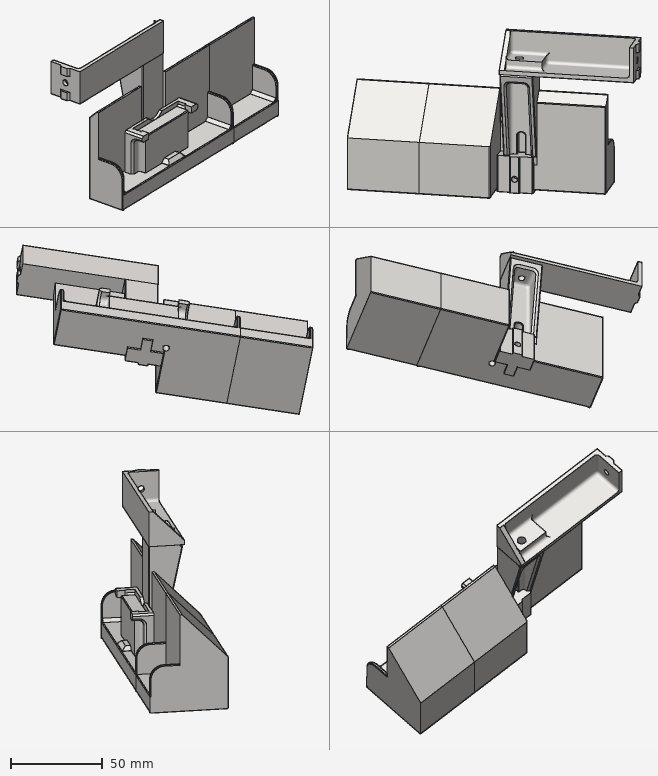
import cadquery as cq

total_length = 159.5
total_height = 90.1
edge_break = 0.5

container_width = 43.5
container_bottom = 1.5
eave_height = 31.1
ridge_height = 56.8
wall_face_x = 27.0
narrow_face_x = 20.4
narrow_eave_chamfer = 0.3
ridge_x = ridge_height - eave_height
rear_length = 40.2
front_length = 99.9
house_length = 39.5
split_y = total_length - rear_length
front_end_y = split_y - front_length
house_end_y = split_y - house_length
trough_floor_z = 11.2
plate_top_z = 28.4
plate_thickness = 1.9
plate_corner_radius = 8.0
plate_foot_chamfer = 1.9
rest_length = 14.4
rest_start_x = 37.8
rest_end_x = 42.9
rest_height = 2.4
rest_bevel = 2.2
drain_diameter = 3.5
drain_mouth_diameter = 6.0
drain_x = 29.2
drain_y = 80.5

connector_width = 20.1
connector_top_z = 20.7
connector_face_x = 18.2
connector_back_x = 26.3
connector_front_y = house_end_y - connector_width
connector_mid_y = house_end_y - connector_width / 2
key_width = 5.6
key_height = 1.1
foot_end_x = 33.2
connector_hole_diameter = 3.4
connector_hole_depth = 6.4
connector_hole_z = 8.0

tray_left_x = 8.1
tray_size = 20.0
tray_right_x = tray_left_x + tray_size
tray_bottom_z = total_height - tray_size
tray_mid_x = tray_left_x + tray_size / 2
tray_mid_z = tray_bottom_z + tray_size / 2
tray_front_y = 1.3
tray_back_y = 76.4
tray_wall = 2.4
tray_back_wall = 2.9
tray_fillet = 1.9
boss_left_x = 13.1
boss_front_y = 53.6
boss_top_z = 77.2
tray_screw_diameter = 4.6
tray_end_hole_diameter = 3.5
rib_base_width = 6.5
rib_tip_width = rib_base_width - 2 * tray_front_y
rib_length = 5.0

arm_width = 18.5
arm_front_y = tray_back_y - arm_width
arm_mid_y = tray_back_y - arm_width / 2
arm_top_x = 9.0
arm_right_x = tray_right_x
arm_tip_z = 16.0
arm_slope = (narrow_face_x - arm_top_x) / (tray_bottom_z - arm_tip_z)
arm_edge_chamfer = 0.5
arm_brow_chamfer = 1.3
arm_pocket_width = 12.1
arm_pocket_top_z = 64.8
arm_pocket_floor_x = 23.0
arm_pocket_radius = 1.9
arm_pocket_chamfer = 1.1
arm_slot_width = 4.6
arm_slot_mouth_width = 5.5
arm_slot_centre_z = 31.0
arm_screw_diameter = 3.5

clip_length = 50.1
clip_front_y = 41.6
clip_back_y = clip_front_y + clip_length
clip_mid_y = clip_front_y + clip_length / 2
clip_left_x = arm_right_x
clip_hook_x = 40.0
clip_body_x = 37.8
clip_top_z = 36.7
clip_end_chamfer = 1.1
clip_wall = 1.9
clip_seat_length = 40.4
thumb_notch_width = 11.5
thumb_notch_depth = 2.9
clip_seat_z = clip_top_z - thumb_notch_depth
clip_opening_length = 38.3
clip_seat_end_x = 35.5
hook_start_x = 33.5
hook_root_radius = 1.5
hook_rim_chamfer = 1.3
hook_bottom_z = 32.9
hook_radius = 3.2


def block(x0, x1, y0, y1, z0, z1):
    """Axis-aligned box between the given limits."""
    return cq.Workplane("XY").box(x1 - x0, y1 - y0, z1 - z0, centered=False).translate((x0, y0, z0))


def extruded_outline(outline, y0, y1):
    """Closed XZ outline extended along Y from y0 to y1."""
    return outline.close().extrude(y0 - y1).translate((0, y0, 0))



def trough_wall(y0, y1, face_x, bevelled_edges):
    """Upright wall under the 45 degree roof, cut off flat at face_x."""
    outline = (
        cq.Workplane("XZ")
        .moveTo(face_x, container_bottom)
        .lineTo(face_x, eave_height + face_x)
        .lineTo(ridge_x, ridge_height)
        .lineTo(wall_face_x, ridge_height)
        .lineTo(wall_face_x, container_bottom)
    )
    wall = extruded_outline(outline, y0, y1)
    return wall.edges(bevelled_edges).chamfer(edge_break)


def trough_base(y0, y1):
    """Solid base under the open trough."""
    base = block(wall_face_x, container_width, y0, y1, container_bottom, trough_floor_z)
    return base.edges(">X and (<Z or >Z)").chamfer(edge_break)


def end_plate(outer_y, inward):
    """Round-cornered plate at a trough end; inward is the Y direction into the trough."""
    inner_y = outer_y + inward * plate_thickness
    outline = (
        cq.Workplane("XZ")
        .moveTo(wall_face_x, container_bottom)
        .lineTo(wall_face_x, plate_top_z)
        .lineTo(container_width - plate_corner_radius, plate_top_z)
        .radiusArc((container_width, plate_top_z - plate_corner_radius), plate_corner_radius)
        .lineTo(container_width, container_bottom)
    )
    plate = extruded_outline(outline, min(outer_y, inner_y), max(outer_y, inner_y))
    plate = plate.edges("(<Y or >Y) and (not <X)").chamfer(edge_break)
    foot = (
        cq.Workplane("YZ")
        .moveTo(inner_y, trough_floor_z)
        .lineTo(inner_y, trough_floor_z + plate_foot_chamfer)
        .lineTo(inner_y + inward * plate_foot_chamfer, trough_floor_z)
        .close()
        .extrude(container_width - edge_break - wall_face_x)
        .translate((wall_face_x, 0, 0))
    )
    return plate.union(foot)


def clip_rest():
    """Bevelled pad on the trough floor beside the clip."""
    middle_y = front_end_y + front_length / 2
    pad = block(rest_start_x, rest_end_x, middle_y - rest_length / 2, middle_y + rest_length / 2,
                trough_floor_z, trough_floor_z + rest_height)
    return pad.faces(">Z").edges("not <X").chamfer(rest_bevel)


def drain_hole():
    """Countersunk hole through the trough floor, stopping at the wall."""
    radius = drain_diameter / 2
    mouth_radius = drain_mouth_diameter / 2
    hole = (
        cq.Workplane("XZ")
        .lineTo(radius, 0)
        .lineTo(radius, trough_floor_z - (mouth_radius - radius))
        .lineTo(mouth_radius, trough_floor_z)
        .lineTo(0, trough_floor_z)
        .close()
        .revolve(360, (0, 0), (0, 1))
        .translate((drain_x, drain_y, 0))
    )
    return hole.intersect(block(wall_face_x, container_width, 0, total_length, 0, trough_floor_z))


def make_rear_container():
    house = trough_wall(split_y, total_length, 0, "<X and <Z")
    return house.union(trough_base(split_y, total_length)).union(end_plate(total_length, -1))


def make_front_container():
    bottom_and_front = "(<X and <Z) or (<Y and (<X or <Z))"
    body = trough_wall(house_end_y, split_y, 0, bottom_and_front)
    narrow_wall = trough_wall(front_end_y, house_end_y, narrow_face_x, bottom_and_front)
    narrow_eave = (narrow_face_x, (front_end_y + house_end_y) / 2, eave_height + narrow_face_x)
    narrow_wall = narrow_wall.edges(cq.selectors.NearestToPointSelector(narrow_eave)).chamfer(narrow_eave_chamfer)
    body = body.union(narrow_wall)
    body = body.union(trough_base(front_end_y + edge_break, split_y))
    body = body.union(end_plate(front_end_y, 1)).union(end_plate(split_y, -1))
    body = body.union(clip_rest())
    connector_recess = block(0, connector_back_x, connector_front_y, house_end_y, 0, connector_top_z)
    arm_gap = block(0, wall_face_x, arm_front_y, house_end_y, connector_top_z, ridge_height)
    arm_tip_recess = block(0, wall_face_x, arm_front_y, connector_front_y, arm_tip_z, connector_top_z)
    return body.cut(connector_recess).cut(arm_gap).cut(arm_tip_recess).cut(drain_hole())



def make_connector():
    body = block(connector_face_x, connector_back_x, connector_front_y, house_end_y, 0, connector_top_z)
    body = body.edges("|Z and <X").chamfer(edge_break)
    key_y0 = connector_mid_y - key_width / 2
    key_y1 = connector_mid_y + key_width / 2
    key = block(connector_face_x - key_height, connector_face_x, key_y0, key_y1, 0, connector_top_z)
    key = key.edges("|Z and <X").chamfer(edge_break)
    foot = block(connector_back_x, foot_end_x, key_y0, key_y1, 0, container_bottom)
    hole = (
        cq.Workplane("YZ")
        .center(connector_mid_y, connector_hole_z)
        .circle(connector_hole_diameter / 2)
        .extrude(connector_hole_depth)
        .translate((connector_face_x - key_height, 0, 0))
    )
    return body.union(key).union(foot).cut(hole)



def tray_cavity():
    """Filleted hollow of the tray, open to the left and above, stepping over the screw boss."""
    inner_right_x = tray_right_x - tray_wall
    inner_front_y = tray_front_y + tray_wall
    inner_back_y = tray_back_y - tray_back_wall
    floor_z = tray_bottom_z + tray_wall
    cavity = block(tray_left_x - tray_size, inner_right_x, inner_front_y, inner_back_y,
                   floor_z, total_height + tray_size)
    boss = block(boss_left_x, inner_right_x, boss_front_y, inner_back_y, floor_z, boss_top_z)
    cavity = cavity.cut(boss)
    sharp_boss_edges = cq.selectors.BoxSelector(
        (boss_left_x - tray_fillet, boss_front_y - tray_fillet, floor_z + tray_fillet / 2),
        (inner_right_x - tray_fillet, inner_back_y - tray_fillet, boss_top_z + tray_fillet),
    )
    sharp_back_edges = cq.selectors.BoxSelector(
        (tray_left_x - tray_size, inner_back_y - edge_break, tray_bottom_z),
        (boss_left_x + edge_break, tray_back_y, boss_top_z - edge_break),
    )
    inner_edges = cavity.edges("not(<X or >Z)").edges(
        cq.selectors.InverseSelector(sharp_boss_edges + sharp_back_edges))
    return inner_edges.fillet(tray_fillet)


def front_rib(bottom_z):
    """Trapezoidal locating rib on the front wall."""
    return (
        cq.Workplane("XY")
        .moveTo(tray_mid_x - rib_base_width / 2, tray_front_y)
        .lineTo(tray_mid_x - rib_tip_width / 2, 0)
        .lineTo(tray_mid_x + rib_tip_width / 2, 0)
        .lineTo(tray_mid_x + rib_base_width / 2, tray_front_y)
        .close()
        .extrude(rib_length)
        .translate((0, 0, bottom_z))
    )


def make_tray():
    body = block(tray_left_x, tray_right_x, tray_front_y, tray_back_y, tray_bottom_z, total_height)
    body = body.cut(tray_cavity())
    back_slope = (
        cq.Workplane("XZ")
        .moveTo(tray_left_x, tray_bottom_z + tray_wall)
        .lineTo(tray_left_x, total_height)
        .lineTo(tray_left_x + tray_size - tray_wall, total_height)
    )
    body = body.cut(extruded_outline(back_slope, tray_back_y - tray_back_wall, tray_back_y))
    screw_hole = (
        cq.Workplane("XY")
        .center(tray_mid_x, arm_mid_y)
        .circle(tray_screw_diameter / 2)
        .extrude(boss_top_z)
    )
    end_hole = (
        cq.Workplane("XZ")
        .center(tray_mid_x, tray_mid_z)
        .circle(tray_end_hole_diameter / 2)
        .extrude(-(tray_front_y + tray_wall))
    )
    body = body.cut(screw_hole).cut(end_hole)
    for bottom_z in (tray_bottom_z, total_height - rib_length):
        body = body.union(front_rib(bottom_z))
    return body



def slope_x(z):
    """X of the sloping left face of the arm at height z."""
    return arm_top_x + arm_slope * (tray_bottom_z - z)


def arm_pocket():
    """Round-topped hollow behind the sloping face, open at the bottom."""
    height = arm_pocket_top_z - connector_top_z
    pocket = block(0, arm_pocket_floor_x, arm_mid_y - arm_pocket_width / 2, arm_mid_y + arm_pocket_width / 2,
                   connector_top_z - height, arm_pocket_top_z)
    pocket = pocket.edges("|X and >Z").fillet(arm_pocket_radius + edge_break)
    return pocket.faces(">X").edges("not <Z").fillet(arm_pocket_radius)


def arm_slot(width):
    """Outline of the round-topped slot in the pocket floor, on the YZ plane."""
    bottom_z = connector_top_z - arm_slot_mouth_width
    return (
        cq.Workplane("YZ", origin=(arm_pocket_floor_x, 0, 0))
        .moveTo(arm_mid_y - width / 2, bottom_z)
        .lineTo(arm_mid_y - width / 2, arm_slot_centre_z)
        .threePointArc((arm_mid_y, arm_slot_centre_z + width / 2), (arm_mid_y + width / 2, arm_slot_centre_z))
        .lineTo(arm_mid_y + width / 2, bottom_z)
        .close()
    )


def make_arm():
    outline = (
        cq.Workplane("XZ")
        .moveTo(slope_x(connector_top_z), connector_top_z)
        .lineTo(arm_top_x, tray_bottom_z)
        .lineTo(arm_right_x, tray_bottom_z)
        .lineTo(arm_right_x, connector_top_z)
    )
    wedge = extruded_outline(outline, arm_front_y, tray_back_y)
    bevelled_wedge = wedge.edges("|Y and >Z and <X").chamfer(arm_brow_chamfer)
    bevelled_wedge = bevelled_wedge.edges("(<Y or >Y) and (not (<Z or >Z))").chamfer(arm_edge_chamfer)
    body = wedge.cut(arm_pocket())
    rim = cq.selectors.BoxSelector(
        (0, arm_mid_y - arm_pocket_width / 2 - edge_break, connector_top_z + edge_break),
        (arm_right_x - arm_edge_chamfer, arm_mid_y + arm_pocket_width / 2 + edge_break,
         arm_pocket_top_z + edge_break),
    )
    body = body.faces("<X").edges(rim).chamfer(arm_pocket_chamfer).intersect(bevelled_wedge)

    mouth_depth = (arm_slot_mouth_width - arm_slot_width) / 2
    mouth = arm_slot(arm_slot_mouth_width).extrude(mouth_depth, taper=45)
    slot = arm_slot(arm_slot_width).extrude(arm_right_x - arm_pocket_floor_x)
    screw_hole = (
        cq.Workplane("XY", origin=(tray_mid_x, arm_mid_y, arm_pocket_top_z - arm_pocket_radius))
        .circle(arm_screw_diameter / 2)
        .extrude(tray_bottom_z - arm_pocket_top_z + arm_pocket_radius)
    )
    tip_outline = (
        cq.Workplane("XZ")
        .moveTo(slope_x(connector_top_z) + arm_edge_chamfer, connector_top_z)
        .lineTo(wall_face_x, connector_top_z)
        .lineTo(wall_face_x, arm_tip_z)
        .lineTo(narrow_face_x, arm_tip_z)
    )
    tip = extruded_outline(tip_outline, arm_front_y, connector_front_y)
    return body.cut(mouth).cut(slot).cut(screw_hole).union(tip)



def hook_undercut(outer_y, inward):
    """Round-cornered space under one hook; inward is the Y direction into the clip."""
    depth = (clip_length - clip_opening_length) / 2
    inner_y = outer_y + inward * depth
    cutter = block(hook_start_x, clip_hook_x + hook_radius, min(outer_y, inner_y), max(outer_y, inner_y),
                   trough_floor_z, hook_bottom_z)
    cutter = cutter.edges("|Y and <X and >Z").fillet(hook_radius)
    inner_face = ">Y" if inward > 0 else "<Y"
    return cutter.faces(inner_face).edges("|X and >Z").fillet(hook_root_radius)


def make_clip():
    body = block(clip_left_x, clip_hook_x, clip_front_y, clip_back_y, trough_floor_z, clip_top_z)
    body = body.edges("|X and >Z").chamfer(clip_end_chamfer)
    for outer_y, inward, outer_face in ((clip_front_y, 1, "<Y"), (clip_back_y, -1, ">Y")):
        body = body.cut(hook_undercut(outer_y, inward))
        rim = cq.selectors.BoxSelector(
            (hook_start_x - edge_break, clip_front_y - edge_break, trough_floor_z + edge_break),
            (clip_hook_x - edge_break, clip_back_y + edge_break, hook_bottom_z + edge_break),
        )
        body = body.faces(outer_face).edges(rim).chamfer(hook_rim_chamfer)

    opening_y0 = clip_mid_y - clip_opening_length / 2
    opening_y1 = clip_mid_y + clip_opening_length / 2
    hook_clearance = block(clip_body_x, clip_hook_x, clip_front_y, clip_back_y, trough_floor_z, hook_bottom_z)
    side_opening = block(clip_body_x, clip_hook_x, opening_y0, opening_y1, trough_floor_z, clip_top_z)
    top_opening = block(clip_left_x + clip_wall, clip_hook_x, opening_y0, opening_y1, clip_seat_z, clip_top_z)
    seat = block(clip_left_x + clip_wall, clip_seat_end_x, clip_mid_y - clip_seat_length / 2,
                 clip_mid_y + clip_seat_length / 2, clip_seat_z, clip_top_z)
    seat = seat.edges("|X and <Z").chamfer(clip_end_chamfer)
    thumb_notch = (
        cq.Workplane("YZ", origin=(clip_left_x, clip_mid_y, clip_top_z))
        .moveTo(-thumb_notch_width / 2, 0)
        .threePointArc((0, -thumb_notch_depth), (thumb_notch_width / 2, 0))
        .close()
        .extrude(clip_wall)
    )
    body = body.cut(hook_clearance).cut(side_opening).cut(seat).cut(top_opening).cut(thumb_notch)
    seat_edge = cq.selectors.NearestToPointSelector((clip_body_x, clip_mid_y, clip_seat_z))
    return body.edges(seat_edge).chamfer(edge_break)


rear_container = make_rear_container()
front_container = make_front_container()
connector = make_connector()
tray = make_tray()
arm = make_arm()
clip = make_clip()

result = cq.Compound.makeCompound([
    rear_container.val(),
    front_container.val(),
    connector.val(),
    tray.val(),
    arm.val(),
    clip.val(),
])